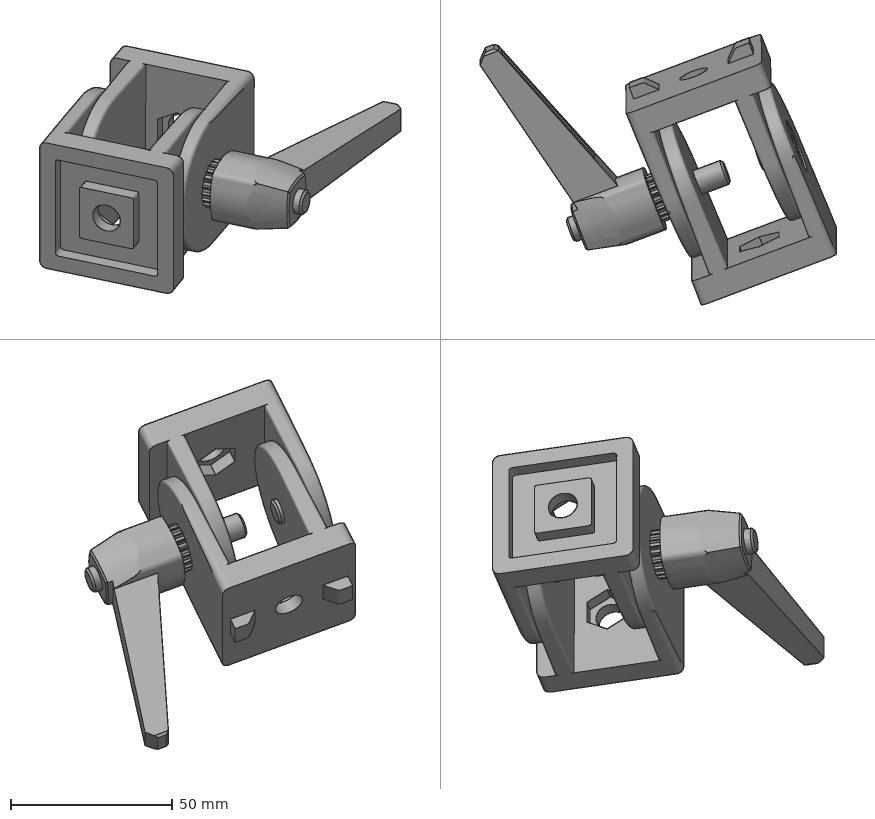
import cadquery as cq
import math

OVERALL_WIDTH = 83.0
OVERALL_LENGTH = 95.5
SIDE = 45.0
HALF = SIDE / 2
CORNER_RADIUS = 2.5
PLATE_BACK = 32.6
PLATE_THICKNESS = 8.2
REAR_TILT = -0.34

ARM_END_OFFSET = 1.1
ARM_TIP = HALF - ARM_END_OFFSET
ARM_EDGE_RADIUS = 1.0
OUTER_ARM_ROOT = (-HALF, -16.4)
OUTER_ARM_TIP = (-21.2, -16.8)
INNER_ARM_ROOT = (10.3, 16.6)
INNER_ARM_TIP = (11.6, 16.1)

PLATE_HOLE_DIAMETER = 9.2
RECESS_SIDE = 34.4
RECESS_RADIUS = 1.1
RECESS_DEPTH = 4.2
ISLAND_SIDE = 18.2
ISLAND_RADIUS = 0.9
NUT_POCKET_ACROSS_FLATS = 13.0
LUG_OUTER_X = 19.9
LUG_INNER_X = 11.5
LUG_HEIGHT = 3.8
LUG_WIDTH = 8.0
LUG_ROUND = 1.7

SHAFT_RADIUS = 7.9 / 2
SHAFT_CHAMFER = 0.72
SCREW_TIP_X = -9.3
SCREW_HEAD_X = -21.3
SCREW_HEAD_RADIUS = 8.0
SOCKET_ACROSS_FLATS = 6.4
SOCKET_DEPTH = 2.9
SOCKET_TURN = 6.5
STUD_START_X = 1.5
STUD_END_X = 53.5

COLLAR_START_X = 21.3
COLLAR_RADIUS = 7.7
COLLAR_ROOT_RADIUS = 7.1
TOOTH_COUNT = 20
TOOTH_ROOT_WIDTH = 1.3
TOOTH_TIP_WIDTH = 0.4

HUB_START_X = 25.4
HUB_END_X = 50.6
HUB_HALF = 10.1
HUB_CROWN_HALF_WIDTH = 5.2
HUB_CROWN_EDGE = 9.3
HUB_CORNER_NEAR = 7.2
HUB_CORNER_FAR = 8.7
HUB_CORNER_RADIUS = 2.3
HUB_TAPER_X = 37.5
HUB_END_HALF = 7.4
HUB_END_CHAMFER = 0.6
HUB_FACET_RADIUS = 24.8


HANDLE_TILT = -0.65
LEVER_ROOT_LEFT_X = 34.6
LEVER_ROOT_RIGHT_X = 49.2
LEVER_TIP_LEFT = (53.6, 62.0)
LEVER_TIP_RIGHT = (OVERALL_WIDTH - HALF, 59.7)
LEVER_END_X = (54.7, 57.5)
LEVER_ROOT_DEPTH = 2.9
LEVER_ROOT_HALF = 11.75 / 2
LEVER_END_HALF = 7.7 / 2
LEVER_END_CHAMFER_LENGTH = 1.0
LEVER_END_CHAMFER_DEPTH = 0.5

POCKET_TOP_Y = 60.3
POCKET_BOTTOM_Y = 19.1
POCKET_WIDTH = 3.9
POCKET_DEPTH = 3.8
POCKET_END_RADIUS = 2.5


def on_line(a, b, y):
    """Point at height y on the XY line through a and b."""
    t = (y - a[1]) / (b[1] - a[1])
    return (a[0] + t * (b[0] - a[0]), y)


def x_cylinder(radius, x_start, x_end):
    """Cylinder on the pivot axis."""
    return cq.Workplane("YZ", origin=(x_start, 0, 0)).circle(radius).extrude(x_end - x_start)


def hexagon_on_x(across_flats, length):
    """Hexagonal bar along +X from the origin, with two corners on the Y axis."""
    return cq.Workplane("YZ").polygon(6, across_flats / math.cos(math.pi / 6)).extrude(length)


def plate_square(side, radius, depth):
    """Round-cornered square going inward from the front face of the plate."""
    square = cq.Workplane("XZ", origin=(0, -PLATE_BACK, 0)).rect(side, side).extrude(-depth)
    return square.edges("|Y").fillet(radius)


def arm(root, tip):
    """Drafted arm with a round end; root and tip hold the X of its two faces."""
    faces = (
        cq.Workplane("XY", origin=(0, 0, -HALF))
        .moveTo(root[0], -PLATE_BACK)
        .lineTo(root[1], -PLATE_BACK)
        .lineTo(tip[1], ARM_TIP)
        .lineTo(tip[0], ARM_TIP)
        .close()
        .extrude(SIDE)
    )
    outline = (
        cq.Workplane("YZ", origin=(-SIDE, 0, 0))
        .moveTo(-PLATE_BACK, -HALF)
        .lineTo(-ARM_END_OFFSET, -HALF)
        .threePointArc((ARM_TIP, 0), (-ARM_END_OFFSET, HALF))
        .lineTo(-PLATE_BACK, HALF)
        .close()
        .extrude(2 * SIDE)
    )
    blank = faces.intersect(outline)
    rim = blank.faces("<X or >X").edges("not(<Y)")
    return rim.fillet(ARM_EDGE_RADIUS)


def countersink(head_x, head_radius, extension):
    """90 degree cone narrowing from the head to the shaft radius, with a wider mouth if extended."""
    return (
        cq.Workplane("XY")
        .moveTo(head_x - extension, 0)
        .lineTo(head_x - extension, head_radius + extension)
        .lineTo(head_x + head_radius - SHAFT_RADIUS, SHAFT_RADIUS)
        .lineTo(head_x + head_radius - SHAFT_RADIUS, 0)
        .close()
        .revolve(360, (0, 0, 0), (1, 0, 0))
    )


def bracket_blank():
    """Plate with an outer and an inner arm, pivot bore, plate hole and hexagonal pocket behind it."""
    drafted_side = (
        cq.Workplane("XY", origin=(0, 0, -HALF))
        .moveTo(OUTER_ARM_ROOT[0], -PLATE_BACK)
        .lineTo(HALF, -PLATE_BACK)
        .lineTo(HALF, ARM_TIP)
        .lineTo(OUTER_ARM_TIP[0], ARM_TIP)
        .close()
        .extrude(SIDE)
    )
    envelope = plate_square(SIDE, CORNER_RADIUS, PLATE_BACK + ARM_TIP).intersect(drafted_side)
    blank = (
        plate_square(SIDE, CORNER_RADIUS, PLATE_THICKNESS)
        .union(arm(OUTER_ARM_ROOT, OUTER_ARM_TIP))
        .union(arm(INNER_ARM_ROOT, INNER_ARM_TIP))
        .intersect(envelope)
    )
    plate_hole = (
        cq.Workplane("XZ", origin=(0, -PLATE_BACK, 0))
        .circle(PLATE_HOLE_DIAMETER / 2)
        .extrude(-PLATE_THICKNESS)
    )
    nut_pocket = (
        hexagon_on_x(NUT_POCKET_ACROSS_FLATS, PLATE_THICKNESS - RECESS_DEPTH)
        .rotate((0, 0, 0), (1, 0, 0), 90)
        .rotate((0, 0, 0), (0, 0, 1), 90)
        .translate((0, RECESS_DEPTH - PLATE_BACK, 0))
    )
    return blank.cut(plate_hole).cut(nut_pocket).cut(x_cylinder(SHAFT_RADIUS, -SIDE, SIDE))


def front_bracket():
    island = plate_square(ISLAND_SIDE, ISLAND_RADIUS, RECESS_DEPTH)
    recess = plate_square(RECESS_SIDE, RECESS_RADIUS, RECESS_DEPTH).cut(island)
    screw_seat = countersink(SCREW_HEAD_X, SCREW_HEAD_RADIUS, HALF + SCREW_HEAD_X)
    return bracket_blank().cut(recess).cut(screw_seat)


def lug():
    """Locating lug on the rear plate, on the +X side, with a sloped and rounded inner flank."""
    return (
        cq.Workplane("XY", origin=(0, 0, -LUG_WIDTH / 2))
        .moveTo(LUG_OUTER_X, PLATE_BACK)
        .lineTo(LUG_OUTER_X, PLATE_BACK + LUG_HEIGHT)
        .lineTo(LUG_INNER_X + LUG_HEIGHT, PLATE_BACK + LUG_HEIGHT)
        .lineTo(LUG_INNER_X, PLATE_BACK)
        .close()
        .extrude(LUG_WIDTH)
        .edges("|Z and >Y")
        .edges("<X")
        .fillet(LUG_ROUND)
    )


def rear_bracket():
    """The same bracket turned half round, with two lugs, swung slightly about the pivot."""
    turned = bracket_blank().rotate((0, 0, 0), (0, 0, 1), 180)
    right_lug = lug()
    left_lug = right_lug.mirror("YZ")
    return turned.union(right_lug).union(left_lug).rotate((0, 0, 0), (1, 0, 0), REAR_TILT)


def pivot_screw():
    """Countersunk screw with a hexagon socket."""
    shaft = x_cylinder(SHAFT_RADIUS, SCREW_HEAD_X, SCREW_TIP_X).faces(">X").chamfer(SHAFT_CHAMFER)
    socket = (
        hexagon_on_x(SOCKET_ACROSS_FLATS, SOCKET_DEPTH)
        .rotate((0, 0, 0), (1, 0, 0), SOCKET_TURN)
        .translate((SCREW_HEAD_X, 0, 0))
    )
    return countersink(SCREW_HEAD_X, SCREW_HEAD_RADIUS, 0).union(shaft).cut(socket)


def collar_tooth():
    """Tooth at the top of the collar; its foot is sunk into the collar core."""
    foot_z = COLLAR_ROOT_RADIUS * math.cos(TOOTH_ROOT_WIDTH / COLLAR_ROOT_RADIUS)
    return (
        cq.Workplane("YZ", origin=(COLLAR_START_X, 0, 0))
        .moveTo(-TOOTH_ROOT_WIDTH / 2, foot_z)
        .lineTo(TOOTH_ROOT_WIDTH / 2, foot_z)
        .lineTo(TOOTH_TIP_WIDTH / 2, COLLAR_RADIUS)
        .lineTo(-TOOTH_TIP_WIDTH / 2, COLLAR_RADIUS)
        .close()
        .extrude(HUB_START_X - COLLAR_START_X)
    )


def clamping_stud(seat):
    """Stud with a toothed collar that bears on the drafted arm face of the seat body."""
    collar = x_cylinder(COLLAR_ROOT_RADIUS, COLLAR_START_X, HUB_START_X)
    tooth = collar_tooth()
    for i in range(TOOTH_COUNT):
        collar = collar.union(tooth.rotate((0, 0, 0), (1, 0, 0), i * 360 / TOOTH_COUNT))
    stud = x_cylinder(SHAFT_RADIUS, STUD_START_X, STUD_END_X).faces("<X or >X").chamfer(SHAFT_CHAMFER)
    return collar.cut(seat).union(stud)


LEVER_ROOT_LEFT = (LEVER_ROOT_LEFT_X, HUB_HALF)
LEVER_ROOT_RIGHT = (LEVER_ROOT_RIGHT_X, HUB_HALF)
LEVER_FOOT_Y = HUB_HALF - LEVER_ROOT_DEPTH
LEVER_END_FACE_HALF = LEVER_END_HALF - LEVER_END_CHAMFER_DEPTH
TILT_ANGLE = math.radians(-HANDLE_TILT)
LEVER_END_Y = (
    OVERALL_LENGTH - PLATE_BACK - LEVER_END_FACE_HALF * math.sin(TILT_ANGLE)
) / math.cos(TILT_ANGLE)


def hub_prism():
    """Four-sided hub with crowned sides, short flats and round corners."""
    corner_mid = (HUB_CORNER_NEAR + HUB_CORNER_FAR) / 2
    half_chord = (HUB_CORNER_FAR - HUB_CORNER_NEAR) / math.sqrt(2)
    bulge = HUB_CORNER_RADIUS - math.sqrt(HUB_CORNER_RADIUS**2 - half_chord**2)
    corner_top = corner_mid + bulge / math.sqrt(2)
    crown_start = (-HUB_CROWN_HALF_WIDTH, HUB_CROWN_EDGE)
    side = [
        (0, HUB_HALF),
        (HUB_CROWN_HALF_WIDTH, HUB_CROWN_EDGE),
        (HUB_CORNER_NEAR, HUB_CORNER_FAR),
        (corner_top, corner_top),
        (HUB_CORNER_FAR, HUB_CORNER_NEAR),
        (HUB_CROWN_EDGE, HUB_CROWN_HALF_WIDTH),
    ]
    outline = cq.Workplane("YZ", origin=(HUB_START_X, 0, 0)).moveTo(*crown_start)
    for _ in range(4):
        outline = (
            outline.threePointArc(side[0], side[1])
            .lineTo(*side[2])
            .threePointArc(side[3], side[4])
            .lineTo(*side[5])
        )
        side = [(z, -y) for y, z in side]
    return outline.close().extrude(HUB_END_X - HUB_START_X)


def hub_taper():
    """Bar with crowned top and bottom that closes in and is chamfered toward the free end."""
    sections = [
        (HUB_START_X, HUB_HALF),
        (HUB_TAPER_X, HUB_HALF),
        (HUB_END_X - HUB_END_CHAMFER, HUB_END_HALF),
        (HUB_END_X, HUB_END_HALF - HUB_END_CHAMFER),
    ]
    crown_drop = HUB_FACET_RADIUS - math.sqrt(HUB_FACET_RADIUS**2 - HUB_HALF**2)
    bar = cq.Workplane("YZ")
    previous_x = 0
    for x, half in sections:
        edge = half - crown_drop
        bar = (
            bar.workplane(offset=x - previous_x)
            .moveTo(-HUB_HALF, edge)
            .threePointArc((0, half), (HUB_HALF, edge))
            .lineTo(HUB_HALF, -edge)
            .threePointArc((0, -half), (-HUB_HALF, -edge))
            .close()
        )
        previous_x = x
    return bar.loft(ruled=True)


def hub():
    """Hub tapered on four sides, but full height on the lever side beneath the lever."""
    upper_lower = hub_prism().intersect(hub_taper())
    tapered = upper_lower.intersect(hub_taper().rotate((0, 0, 0), (1, 0, 0), 90))
    under_lever = (
        cq.Workplane("XY", origin=(0, 0, -HUB_HALF))
        .moveTo(HUB_START_X, 0)
        .lineTo(*on_line(LEVER_ROOT_RIGHT, LEVER_TIP_RIGHT, 0))
        .lineTo(*LEVER_ROOT_RIGHT)
        .lineTo(HUB_START_X, HUB_HALF)
        .close()
        .extrude(2 * HUB_HALF)
    )
    return tapered.union(upper_lower.intersect(under_lever))


def lever_pocket():
    """Slot along the inner edge of the lever, with a rounded far end."""
    slope_x = (LEVER_TIP_LEFT[0] - LEVER_ROOT_LEFT[0]) / (LEVER_TIP_LEFT[1] - LEVER_ROOT_LEFT[1])
    depth_x = POCKET_DEPTH * math.hypot(1, slope_x)
    top = on_line(LEVER_ROOT_LEFT, LEVER_TIP_LEFT, POCKET_TOP_Y)
    bottom = on_line(LEVER_ROOT_LEFT, LEVER_TIP_LEFT, POCKET_BOTTOM_Y)
    return (
        cq.Workplane("XY", origin=(0, 0, -POCKET_WIDTH / 2))
        .moveTo(top[0] - depth_x, top[1])
        .lineTo(top[0] + depth_x, top[1])
        .lineTo(bottom[0] + depth_x, bottom[1])
        .lineTo(bottom[0] - depth_x, bottom[1])
        .close()
        .extrude(POCKET_WIDTH)
        .edges("|Z and >X")
        .fillet(POCKET_END_RADIUS)
    )


def lever():
    outline = (
        cq.Workplane("XY", origin=(0, 0, -HUB_HALF))
        .moveTo(*on_line(LEVER_ROOT_LEFT, LEVER_TIP_LEFT, LEVER_FOOT_Y))
        .lineTo(*LEVER_TIP_LEFT)
        .lineTo(LEVER_END_X[0], LEVER_END_Y)
        .lineTo(LEVER_END_X[1], LEVER_END_Y)
        .lineTo(*LEVER_TIP_RIGHT)
        .lineTo(*on_line(LEVER_ROOT_RIGHT, LEVER_TIP_RIGHT, LEVER_FOOT_Y))
        .close()
        .extrude(2 * HUB_HALF)
    )
    thickness = (
        cq.Workplane("YZ")
        .moveTo(LEVER_FOOT_Y, LEVER_ROOT_HALF)
        .lineTo(LEVER_END_Y - LEVER_END_CHAMFER_LENGTH, LEVER_END_HALF)
        .lineTo(LEVER_END_Y, LEVER_END_FACE_HALF)
        .lineTo(LEVER_END_Y, -LEVER_END_FACE_HALF)
        .lineTo(LEVER_END_Y - LEVER_END_CHAMFER_LENGTH, -LEVER_END_HALF)
        .lineTo(LEVER_FOOT_Y, -LEVER_ROOT_HALF)
        .close()
        .extrude(LEVER_END_Y)
    )
    return outline.intersect(thickness).cut(lever_pocket())


def handle():
    bore = x_cylinder(SHAFT_RADIUS, HUB_START_X, HUB_END_X)
    return hub().union(lever()).cut(bore).rotate((0, 0, 0), (1, 0, 0), HANDLE_TILT)


front = front_bracket()
rear = rear_bracket()
screw = pivot_screw()
stud = clamping_stud(rear)
clamp_handle = handle()

result = cq.Compound.makeCompound(
    [front.val(), rear.val(), screw.val(), stud.val(), clamp_handle.val()]
)